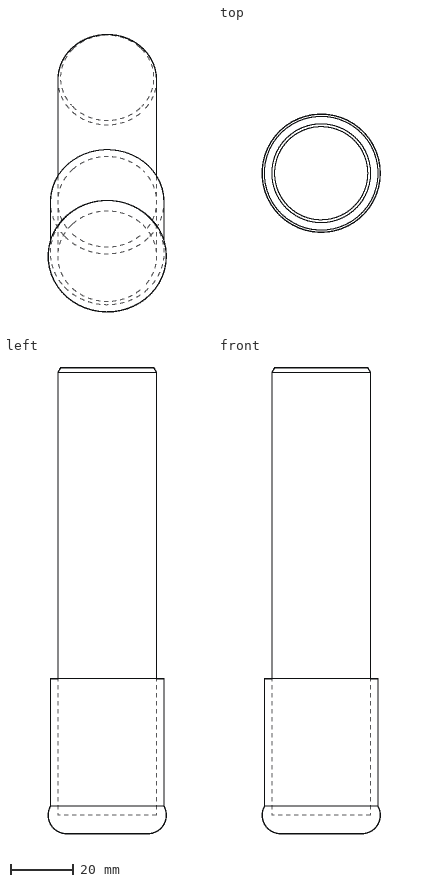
import cadquery as cq
import math

total_length = 150.0

rod_radius = 15.9
chamfer_height = 1.5
chamfer_width = 0.9

cap_height = 50.0
cap_radius = 18.3
bead_radius = 19.0
bead_round = 6.0
floor_thickness = bead_round


def make_rod():
    """Straight rod standing on the cap floor, chamfered at its top end."""
    return (
        cq.Workplane("XZ")
        .moveTo(0, floor_thickness)
        .lineTo(rod_radius, floor_thickness)
        .lineTo(rod_radius, total_length - chamfer_height)
        .lineTo(rod_radius - chamfer_width, total_length)
        .lineTo(0, total_length)
        .close()
        .revolve(360, (0, 0, 0), (0, 1, 0))
    )


def make_cap():
    """Cup with a rounded, bulging foot and a blind socket for the rod."""
    round_center = bead_radius - bead_round
    wall_angle = math.acos((cap_radius - round_center) / bead_round)
    wall_start = bead_round + bead_round * math.sin(wall_angle)
    return (
        cq.Workplane("XZ")
        .lineTo(round_center, 0)
        .radiusArc((bead_radius, bead_round), -bead_round)
        .radiusArc((cap_radius, wall_start), -bead_round)
        .lineTo(cap_radius, cap_height)
        .lineTo(rod_radius, cap_height)
        .lineTo(rod_radius, floor_thickness)
        .lineTo(0, floor_thickness)
        .close()
        .revolve(360, (0, 0, 0), (0, 1, 0))
    )


rod = make_rod()
cap = make_cap()

result = cq.Compound.makeCompound([rod.val(), cap.val()])